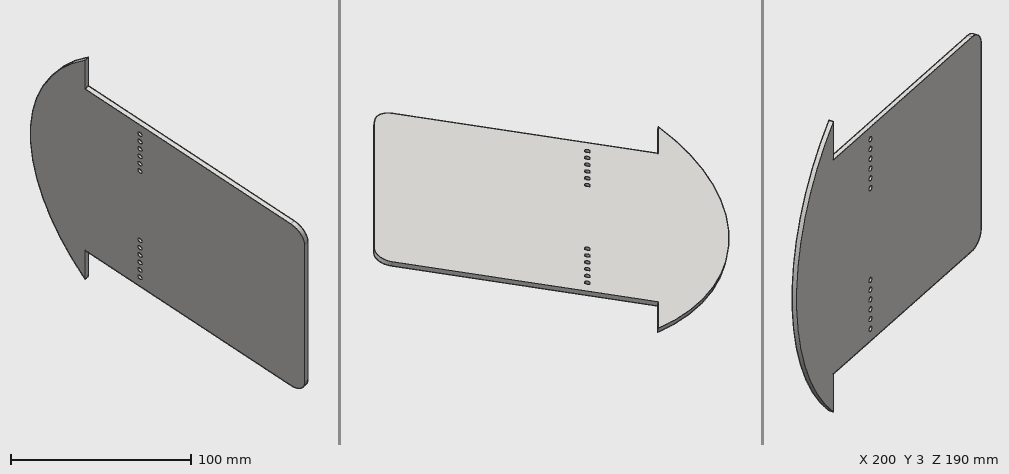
import cadquery as cq

length = 200.0
thickness = 3.0
body_width = 140.0
corner_radius = 10.0

head_width = 190.0
head_length = 40.0

hole_diameter = 3.0
hole_x = 80.0
hole_pitch = 6.5
holes_per_row = 6
innermost_hole_z = 30.0


def make_plate():
    """Rectangular body joined to a wider head with an arc-shaped front edge."""
    half_body = body_width / 2
    half_head = head_width / 2
    return (
        cq.Workplane("XZ")
        .moveTo(head_length, half_head)
        .threePointArc((0, 0), (head_length, -half_head))
        .lineTo(head_length, -half_body)
        .lineTo(length, -half_body)
        .lineTo(length, half_body)
        .lineTo(head_length, half_body)
        .close()
        .extrude(thickness / 2, both=True)
        .edges("|Y and >X")
        .fillet(corner_radius)
    )


def make_holes():
    """Through-hole cutters, mirrored about the plate's centre line."""
    centres = [
        (hole_x, side * (innermost_hole_z + index * hole_pitch))
        for side in (-1, 1)
        for index in range(holes_per_row)
    ]
    return (
        cq.Workplane("XZ")
        .pushPoints(centres)
        .circle(hole_diameter / 2)
        .extrude(thickness, both=True)
    )


result = make_plate().cut(make_holes())